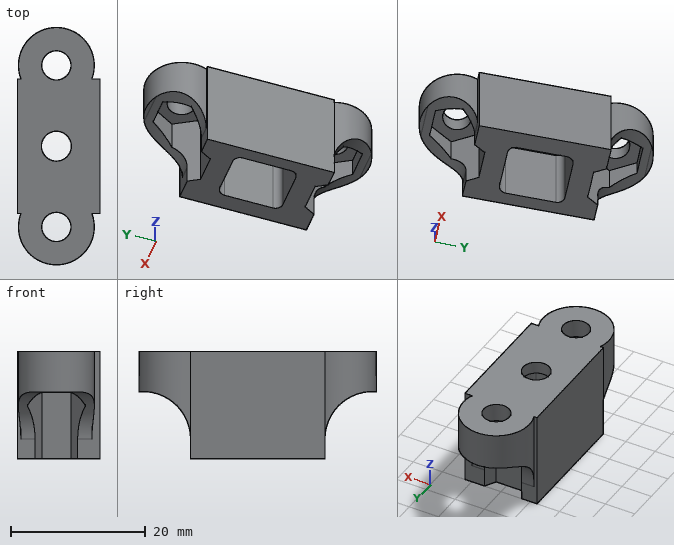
import cadquery as cq
import math

block_width = 12.32
block_length = 20.02
height = 16.0

total_length = 35.3
ear_radius = 5.65
ear_thickness = 6.0
axis_x = -0.35
ear_y = total_length / 2 - ear_radius
flare_radius = 7.0

ear_hole_diameter = 4.3
nut_across_flats = 7.5
nut_roof_depth = 3.0

centre_hole_diameter = 4.4
cavity_width = 7.98
cavity_length = 9.95
cavity_corner_radius = 1.15
cavity_roof_depth = 2.0


def make_ear(side):
    """Round ear whose underside flares down into the block's end face."""
    column = cq.Workplane("XY").center(axis_x, side * ear_y).circle(ear_radius).extrude(height)
    end_y = side * block_length / 2
    tip_y = side * total_length / 2
    flare_y = end_y + side * flare_radius
    underside_z = height - ear_thickness
    flare_z = underside_z - flare_radius
    diagonal = flare_radius * math.sqrt(0.5)
    clearance = (
        cq.Workplane("YZ")
        .moveTo(end_y, 0)
        .lineTo(end_y, flare_z)
        .threePointArc((flare_y - side * diagonal, flare_z + diagonal), (flare_y, underside_z))
        .lineTo(tip_y, underside_z)
        .lineTo(tip_y, 0)
        .close()
        .extrude(block_width, both=True)
    )
    return column.cut(clearance)


def make_nut_pocket(side):
    """Hexagonal pocket open at the bottom, with two flats facing along Y."""
    across_corners = nut_across_flats / math.cos(math.pi / 6)
    return (
        cq.Workplane("XY")
        .center(axis_x, side * ear_y)
        .polygon(6, across_corners)
        .extrude(height - nut_roof_depth)
    )


def make_hole(y, diameter):
    """Vertical hole through the full height."""
    return cq.Workplane("XY").center(axis_x, y).circle(diameter / 2).extrude(height)


def make_cavity():
    """Rounded rectangular cavity under the centre hole, open at the bottom."""
    return (
        cq.Workplane("XY")
        .center(axis_x, 0)
        .rect(cavity_width, cavity_length)
        .extrude(height - cavity_roof_depth)
        .edges("|Z")
        .fillet(cavity_corner_radius)
    )


body = cq.Workplane("XY").box(block_width, block_length, height, centered=(True, True, False))
for side in (-1, 1):
    body = body.union(make_ear(side))

for side in (-1, 1):
    body = body.cut(make_nut_pocket(side))
    body = body.cut(make_hole(side * ear_y, ear_hole_diameter))

body = body.cut(make_hole(0, centre_hole_diameter))
result = body.cut(make_cavity())